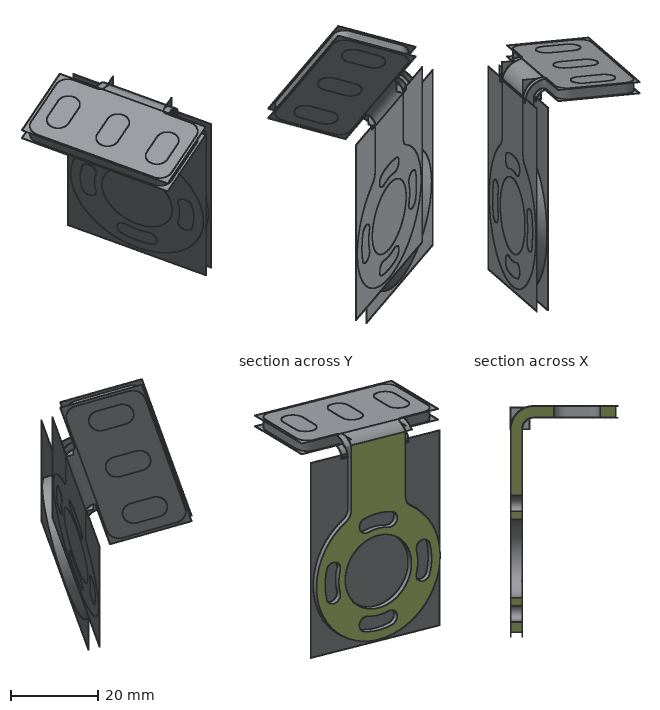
import cadquery as cq
import math

sheet = 2.7
skin = 0.025
overhang = 0.02

total_width = 37.45
total_depth = 24.65
total_height = 53

bend_radius = 5.25
bend_inner = bend_radius - sheet
neck_width = 15.0
flare = 1.4
flare_angle = 22.4

fin_back = 0.05
fin_depth = 4.45
fin_top = 0.3
fin_height = 5.05

shelf_width = total_width / (1 + 2 * overhang)
shelf_skin_front = fin_back - total_depth
shelf_depth = (-bend_radius - shelf_skin_front) / (1 + overhang)
shelf_y = -bend_radius - shelf_depth / 2
shelf_corner = 3.0
shelf_slot_width = 5.25
shelf_slot_length = 10.6
shelf_slot_pitch = 12.65
shelf_slot_y = -15.25

disc_radius = 17.0
leg_height = (total_height - bend_radius) / (1 + overhang)
leg_bottom = -bend_radius - leg_height
disc_z = leg_bottom + disc_radius
neck_fillet = 3.0
bore_radius = 9
ring_slot_radius = 12.7
ring_slot_width = 3.65
ring_slot_half_angle = 15
ring_slot_count = 4

search_margin = 0.55
cut_clearance = 0.55


def box(x_range, y_range, z_range):
    """Box between the given limits."""
    size = [high - low for low, high in (x_range, y_range, z_range)]
    corner = (x_range[0], y_range[0], z_range[0])
    return cq.Workplane("XY").box(*size, centered=False).translate(corner)


def polar(radius, degrees):
    """Point at a radius and an angle from the local x axis."""
    angle = math.radians(degrees)
    return (radius * math.cos(angle), radius * math.sin(angle))


def make_shelf():
    """Horizontal plate with rounded corners and three slots through it."""
    plate = (
        cq.Workplane("XY", origin=(0, shelf_y, -sheet))
        .rect(shelf_width, shelf_depth)
        .extrude(sheet)
        .edges("|Z")
        .fillet(shelf_corner)
    )
    slots = (
        cq.Workplane("XY", origin=(0, shelf_slot_y, -sheet))
        .rarray(shelf_slot_pitch, 0.55, 3, 1)
        .slot2D(shelf_slot_length, shelf_slot_width, 90)
        .extrude(sheet)
    )
    return plate.cut(slots)


def ring_slot():
    """Curved slot with round ends, centred on the +X direction of the disc."""
    inner = ring_slot_radius - ring_slot_width / 2
    outer = ring_slot_radius + ring_slot_width / 2
    end_angle = ring_slot_half_angle + math.degrees(ring_slot_width / 2 / ring_slot_radius)
    return (
        cq.Workplane("XZ", origin=(0, 0, disc_z))
        .moveTo(*polar(outer, -ring_slot_half_angle))
        .threePointArc((outer, 0), polar(outer, ring_slot_half_angle))
        .threePointArc(polar(ring_slot_radius, end_angle), polar(inner, ring_slot_half_angle))
        .threePointArc((inner, 0), polar(inner, -ring_slot_half_angle))
        .threePointArc(polar(ring_slot_radius, -end_angle), polar(outer, -ring_slot_half_angle))
        .close()
        .extrude(sheet)
    )


def make_leg():
    """Vertical disc and neck, blended together, with the round opening and ring slots."""
    disc = cq.Workplane("XZ", origin=(0, 0, disc_z)).circle(disc_radius).extrude(sheet)
    neck_x = neck_width / 2
    neck = box((-neck_x, neck_x), (-sheet, 0), (disc_z, -bend_radius))
    joint_z = disc_z + math.sqrt(disc_radius**2 - neck_x**2)
    near_joint = cq.selectors.BoxSelector(
        (-neck_width, -sheet, joint_z - search_margin), (neck_width, 0, joint_z + search_margin)
    )
    leg = disc.union(neck).edges("|Y").edges(near_joint).fillet(neck_fillet)
    leg = leg.cut(cq.Workplane("XZ", origin=(0, 0, disc_z)).circle(bore_radius).extrude(sheet))
    for index in range(ring_slot_count):
        turn = index * 360 / ring_slot_count
        leg = leg.cut(ring_slot().rotate((0, 0, disc_z), (0, 1, disc_z), turn))
    return leg


def bend_ring(outer, inner, width, extra_angle=0):
    """Quarter of a tube about the bend axis, lengthened at both ends by an extra angle."""
    start = -extra_angle
    end = 90 + extra_angle
    return (
        cq.Workplane("YZ", origin=(-width / 2, -bend_radius, -bend_radius))
        .moveTo(*polar(outer, start))
        .threePointArc(polar(outer, 45), polar(outer, end))
        .lineTo(*polar(inner, end))
        .threePointArc(polar(inner, 45), polar(inner, start))
        .close()
        .extrude(width)
    )


def flare_trim():
    """Wedge beside the neck whose curved side flares out radially towards the shelf."""
    neck_x = neck_width / 2
    flare_x = neck_x + flare
    heights = (bend_inner / 2, bend_radius + cut_clearance)
    trim = cq.Workplane("XY", origin=(0, -bend_radius, -bend_radius))
    previous_height = 0
    for height in heights:
        reach = height * math.tan(math.radians(flare_angle))
        trim = (
            trim.workplane(offset=height - previous_height)
            .moveTo(neck_x, reach)
            .spline([(flare_x, 0)], tangents=[(0, -1), (1, 0)], includeCurrent=True)
            .lineTo(flare_x + cut_clearance, 0)
            .lineTo(flare_x + cut_clearance, reach)
            .close()
        )
        previous_height = height
    return trim.loft(ruled=True)


def make_bend():
    """Bend between leg and shelf, as wide as the neck, flared where it meets the shelf."""
    neck_bend = bend_ring(bend_radius, bend_inner, neck_width)
    wide_bend = bend_ring(bend_radius, bend_inner, neck_width + 2 * flare)
    far = 2 * bend_radius
    wedge = (
        cq.Workplane("YZ", origin=(-neck_width, -bend_radius, -bend_radius))
        .polyline([(0, 0), (far * math.tan(math.radians(flare_angle)), far), (0, far)])
        .close()
        .extrude(2 * neck_width)
    )
    trim = flare_trim()
    flared = wide_bend.intersect(wedge).cut(trim).cut(trim.mirror("YZ"))
    return neck_bend.union(flared)


def shelf_skins():
    """Skins over the top and bottom of the shelf."""
    half_width = total_width / 2
    y_range = (shelf_skin_front, shelf_skin_front + shelf_depth * (1 + 2 * overhang))
    return [
        box((-half_width, half_width), y_range, (-skin, 0)),
        box((-half_width, half_width), y_range, (-sheet, skin - sheet)),
    ]


def leg_skins():
    """Skins over the front and back of the leg."""
    half_width = disc_radius * (1 + 2 * overhang)
    z_range = (-total_height, -bend_radius + overhang * leg_height)
    return [
        box((-half_width, half_width), (-skin, 0), z_range),
        box((-half_width, half_width), (-sheet, skin - sheet), z_range),
    ]


def bend_skins():
    """Skins over the inner and outer curve of the bend, and a flat fin on each of its sides."""
    width = (neck_width + 2 * flare) * (1 + 2 * overhang)
    extra_angle = 90 * overhang
    fin_y = (fin_back - fin_depth, fin_back)
    fin_z = (-fin_top - fin_height, -fin_top)
    neck_x = neck_width / 2
    return [
        bend_ring(bend_radius, bend_radius - skin, width, extra_angle),
        bend_ring(bend_inner + skin, bend_inner, width, extra_angle),
        box((-neck_x, skin - neck_x), fin_y, fin_z),
        box((neck_x - skin, neck_x), fin_y, fin_z),
    ]


result = make_leg().union(make_bend()).union(make_shelf())
for cover in shelf_skins() + leg_skins() + bend_skins():
    result = result.union(cover)